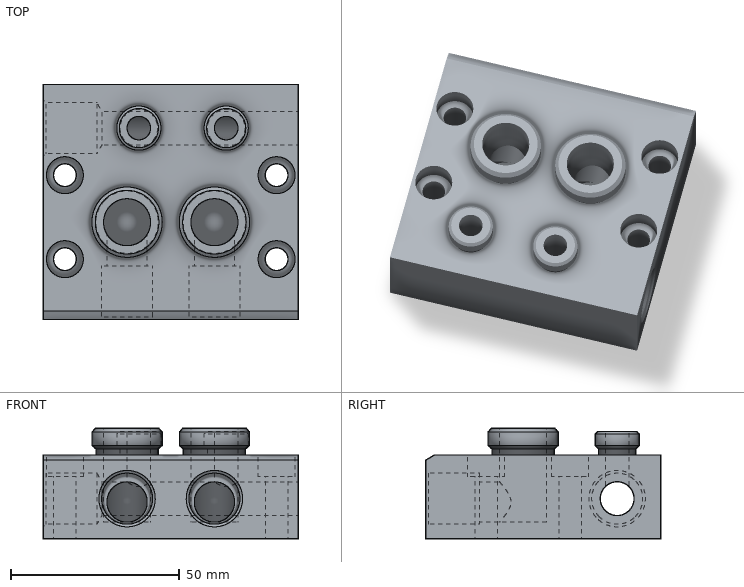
import cadquery as cq
import math

BLOCK_X = 76.0
BLOCK_Y = 70.0
BLOCK_Z = 25.0
EDGE_BEVEL_Y = 2.6
EDGE_BEVEL_Z = 1.5

SCREW_EDGE_OFFSET = 6.5
SCREW_XS = (SCREW_EDGE_OFFSET, BLOCK_X - SCREW_EDGE_OFFSET)
SCREW_YS = (18.0, 43.0)
SCREW_DIA = 6.7
SCREW_HEAD_DIA = 11.0
SCREW_HEAD_DEPTH = 6.4

PORT_Z = 12.0
PORT_DIA = 15.2
PORT_MOUTH_DIA = 16.8
PORT_BEVEL = (PORT_MOUTH_DIA - PORT_DIA) / 2
PORT_DEPTH = 16.0
DRILL_POINT_ANGLE = 118.0

PORT_PITCH = 26.0
LARGE_XS = ((BLOCK_X - PORT_PITCH) / 2, (BLOCK_X + PORT_PITCH) / 2)
LARGE_Y = 29.0
LARGE_HEIGHT = 8.0
LARGE_DIA = 20.95
LARGE_NECK_DIA = 18.6
LARGE_BORE_DIA = 14.0
LARGE_TOP_BEVEL = 1.0
LARGE_TOP_BEVEL_Z = 1.2
FRONT_BORE_DIA = 12.0
FRONT_BORE_Z = 11.0
BORE_FLOOR_Z = FRONT_BORE_Z - FRONT_BORE_DIA / 2

FIRST_SMALL_X = 28.5
SMALL_XS = (FIRST_SMALL_X, FIRST_SMALL_X + PORT_PITCH)
CROSS_BORE_BACK_OFFSET = 13.0
CROSS_BORE_Y = BLOCK_Y - CROSS_BORE_BACK_OFFSET
CROSS_BORE_DIA = 10.0
SMALL_HEIGHT = 7.0
SMALL_DIA = 13.16
SMALL_NECK_DIA = 11.2
SMALL_BORE_DIA = 7.0
SMALL_TOP_BEVEL = 0.75
SMALL_TOP_BEVEL_Z = SMALL_TOP_BEVEL

NECK_HEIGHT = 1.8
COLLAR_BASE_HEIGHT = 2.8


def make_block():
    """Rectangular block with its top front edge bevelled."""
    profile = [
        (0, 0),
        (BLOCK_Y, 0),
        (BLOCK_Y, BLOCK_Z),
        (EDGE_BEVEL_Y, BLOCK_Z),
        (0, BLOCK_Z - EDGE_BEVEL_Z),
    ]
    return cq.Workplane("YZ").polyline(profile).close().extrude(BLOCK_X)


def make_nipple(x, y, height, dia, neck_dia, top_bevel, top_bevel_z):
    """Solid round nipple: a narrow neck flaring into a bevelled collar."""
    radius = dia / 2
    neck_radius = neck_dia / 2
    profile = [
        (0, 0),
        (neck_radius, 0),
        (neck_radius, NECK_HEIGHT),
        (radius, COLLAR_BASE_HEIGHT),
        (radius, height - top_bevel_z),
        (radius - top_bevel, height),
        (0, height),
    ]
    nipple = cq.Workplane("XZ").polyline(profile).close().revolve(360, (0, 0), (0, 1))
    return nipple.translate((x, y, BLOCK_Z))


def make_bore(start, direction, dia, length):
    """Cylinder to be cut away, running from start along direction."""
    return cq.Workplane(cq.Solid.makeCylinder(dia / 2, length, cq.Vector(*start), cq.Vector(*direction)))


def make_cone(start, direction, start_dia, end_dia, length):
    """Tapered cut running from start along direction."""
    return cq.Workplane(
        cq.Solid.makeCone(start_dia / 2, end_dia / 2, length, cq.Vector(*start), cq.Vector(*direction))
    )


def cut_port(body, start, direction):
    """Port with a flat bottom and a bevelled mouth."""
    body = body.cut(make_bore(start, direction, PORT_DIA, PORT_DEPTH))
    return body.cut(make_cone(start, direction, PORT_MOUTH_DIA, PORT_DIA, PORT_BEVEL))


def cut_screw_holes(body):
    """Four counterbored mounting holes."""
    for x in SCREW_XS:
        for y in SCREW_YS:
            body = body.cut(make_bore((x, y, 0), (0, 0, 1), SCREW_DIA, BLOCK_Z))
            body = body.cut(make_bore((x, y, BLOCK_Z), (0, 0, -1), SCREW_HEAD_DIA, SCREW_HEAD_DEPTH))
    return body


def add_large_line(body, x):
    """Large nipple whose bore meets a ported bore from the front face."""
    body = body.union(
        make_nipple(x, LARGE_Y, LARGE_HEIGHT, LARGE_DIA, LARGE_NECK_DIA, LARGE_TOP_BEVEL, LARGE_TOP_BEVEL_Z)
    )
    top_z = BLOCK_Z + LARGE_HEIGHT
    body = body.cut(make_bore((x, LARGE_Y, top_z), (0, 0, -1), LARGE_BORE_DIA, top_z - BORE_FLOOR_Z))
    body = body.cut(make_bore((x, 0, FRONT_BORE_Z), (0, 1, 0), FRONT_BORE_DIA, LARGE_Y))
    return cut_port(body, (x, 0, PORT_Z), (0, 1, 0))


def add_small_nipple(body, x):
    """Small nipple with a bore down to the cross bore's axis."""
    body = body.union(
        make_nipple(
            x, CROSS_BORE_Y, SMALL_HEIGHT, SMALL_DIA, SMALL_NECK_DIA, SMALL_TOP_BEVEL, SMALL_TOP_BEVEL_Z
        )
    )
    top_z = BLOCK_Z + SMALL_HEIGHT
    return body.cut(make_bore((x, CROSS_BORE_Y, top_z), (0, 0, -1), SMALL_BORE_DIA, top_z - PORT_Z))


def cut_cross_bore(body):
    """Bore through the full width, opening into a port with a drill-point bottom."""
    side = (1, 0, 0)
    cone_length = (PORT_DIA - CROSS_BORE_DIA) / 2 / math.tan(math.radians(DRILL_POINT_ANGLE / 2))
    body = body.cut(make_bore((0, CROSS_BORE_Y, PORT_Z), side, CROSS_BORE_DIA, BLOCK_X))
    body = cut_port(body, (0, CROSS_BORE_Y, PORT_Z), side)
    return body.cut(
        make_cone((PORT_DEPTH, CROSS_BORE_Y, PORT_Z), side, PORT_DIA, CROSS_BORE_DIA, cone_length)
    )


result = cut_screw_holes(make_block())
for large_x in LARGE_XS:
    result = add_large_line(result, large_x)
for small_x in SMALL_XS:
    result = add_small_nipple(result, small_x)
result = cut_cross_bore(result)